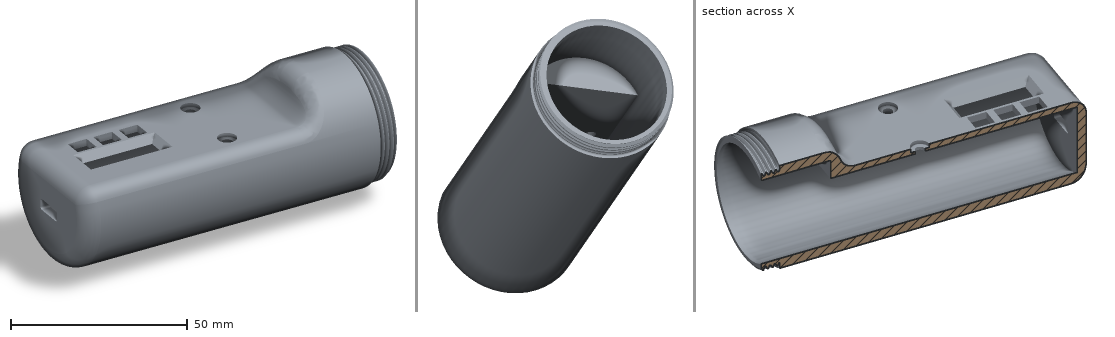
import cadquery as cq
import math

TOTAL_LENGTH = 103.0
BODY_DIAMETER = 41.6
BODY_RADIUS = BODY_DIAMETER / 2
BORE_DIAMETER = 35.6
WALL = (BODY_DIAMETER - BORE_DIAMETER) / 2
EDGE_ROUND = 5.0
SELECTION_MARGIN = 1.0

PANEL_Z = 10.5
PANEL_THICKNESS = 2.3
STEP_Y = 78.0

NECK_LENGTH = 6.0
NECK_START_Y = TOTAL_LENGTH - NECK_LENGTH
THREAD_ROOT_DIAMETER = 38.1
THREAD_CREST_DIAMETER = 39.9
THREAD_PITCH = 1.5
THREAD_CREST_WIDTH = 0.26
THREAD_FLANK_ANGLE = 30.0
THREAD_OVERLAP = 0.1
THREAD_LAST_CREST_Y = 101.8
THREAD_TURNS_BELOW = 4
THREAD_TURNS_ABOVE = 2

SCREW_DIAMETER = 3.0
SCREW_HEAD_DIAMETER = 5.8
SCREW_HEAD_DEPTH = 1.2
SCREW_SPACING = 20.6
SCREW_Y = 52.6

DISPLAY_X = 2.1
DISPLAY_Y = 23.2
DISPLAY_WIDTH = 10.0
DISPLAY_LENGTH = 26.8
DISPLAY_BEVEL = 2.1
BUTTON_X = -6.5
BUTTON_WIDTH = 5.6
BUTTON_LENGTH = 6.2
BUTTON_PITCH = 8.3
BUTTON_COUNT = 3

SLOT_WIDTH = 9.2
SLOT_HEIGHT = 3.5
SLOT_Z = -3.2
SLOT_CORNER_RADIUS = 0.7


def rod(diameter, start_y, end_y):
    """Solid cylinder along Y between two positions."""
    length = end_y - start_y
    return cq.Workplane("XZ", origin=(0, start_y, 0)).circle(diameter / 2).extrude(-length)


def outer_body():
    """Round grip with the panel cut away and every edge rounded except at the neck."""
    body = rod(BODY_DIAMETER, 0, NECK_START_Y)
    removed_profile = (
        cq.Workplane("YZ")
        .moveTo(0, PANEL_Z)
        .lineTo(STEP_Y - EDGE_ROUND, PANEL_Z)
        .radiusArc((STEP_Y, PANEL_Z + EDGE_ROUND), -EDGE_ROUND)
        .lineTo(STEP_Y, BODY_RADIUS)
        .lineTo(0, BODY_RADIUS)
        .close()
    )
    body = body.cut(removed_profile.extrude(BODY_RADIUS, both=True))

    end_edges = body.faces("<Y").edges()
    step_edges = body.faces(cq.selectors.BoxSelector(
        (-BODY_RADIUS, 0, PANEL_Z - SELECTION_MARGIN),
        (BODY_RADIUS, STEP_Y + SELECTION_MARGIN, BODY_RADIUS + SELECTION_MARGIN),
        boundingbox=True,
    )).edges("not |X")
    return body.newObject(end_edges.vals() + step_edges.vals()).fillet(EDGE_ROUND)


def cavity():
    """Bore from the closed end's wall to the open end, flattened under the panel."""
    bore = rod(BORE_DIAMETER, WALL, TOTAL_LENGTH)
    panel_backing = cq.Workplane("XY", origin=(0, 0, PANEL_Z - PANEL_THICKNESS)).box(
        BODY_DIAMETER, STEP_Y + WALL, BODY_RADIUS, centered=(True, False, False)
    )
    return bore.cut(panel_backing)


def thread_ridge():
    """Right-handed helical ridge, trimmed flush with the open end."""
    root_radius = THREAD_ROOT_DIAMETER / 2
    crest_radius = THREAD_CREST_DIAMETER / 2
    inner_radius = root_radius - THREAD_OVERLAP
    half_crest = THREAD_CREST_WIDTH / 2
    half_root = half_crest + (crest_radius - inner_radius) * math.tan(math.radians(THREAD_FLANK_ANGLE))
    start_y = THREAD_LAST_CREST_Y - THREAD_TURNS_BELOW * THREAD_PITCH
    helix_height = (THREAD_TURNS_BELOW + THREAD_TURNS_ABOVE) * THREAD_PITCH

    path = cq.Workplane(cq.Wire.makeHelix(THREAD_PITCH, helix_height, root_radius))
    ridge = (
        cq.Workplane("XZ")
        .polyline([
            (inner_radius, -half_root),
            (crest_radius, -half_crest),
            (crest_radius, half_crest),
            (inner_radius, half_root),
        ])
        .close()
        .sweep(path, isFrenet=True)
        .rotate((0, 0, 0), (1, 0, 0), -90)
        .translate((0, start_y, 0))
    )
    return ridge.intersect(rod(BODY_DIAMETER, NECK_START_Y - THREAD_OVERLAP, TOTAL_LENGTH))


def panel_plane():
    """Workplane on the panel's outer face."""
    return cq.Workplane("XY", origin=(0, 0, PANEL_Z))


def screw_holes():
    """Counterbored holes through the panel."""
    centres = [(-SCREW_SPACING / 2, SCREW_Y), (SCREW_SPACING / 2, SCREW_Y)]
    shanks = panel_plane().pushPoints(centres).circle(SCREW_DIAMETER / 2).extrude(-PANEL_THICKNESS)
    heads = panel_plane().pushPoints(centres).circle(SCREW_HEAD_DIAMETER / 2).extrude(-SCREW_HEAD_DEPTH)
    return shanks.union(heads)


def display_window():
    """Opening that narrows evenly on all four sides through the panel."""
    return (
        panel_plane()
        .center(DISPLAY_X, DISPLAY_Y)
        .rect(DISPLAY_WIDTH, DISPLAY_LENGTH)
        .workplane(offset=-PANEL_THICKNESS)
        .rect(DISPLAY_WIDTH - 2 * DISPLAY_BEVEL, DISPLAY_LENGTH - 2 * DISPLAY_BEVEL)
        .loft(ruled=True)
    )


def button_openings():
    """Row of rectangular openings centred lengthwise on the display."""
    return (
        panel_plane()
        .center(BUTTON_X, DISPLAY_Y)
        .rarray(1, BUTTON_PITCH, 1, BUTTON_COUNT)
        .rect(BUTTON_WIDTH, BUTTON_LENGTH)
        .extrude(-PANEL_THICKNESS)
    )


def connector_slot():
    """Round-cornered slot through the wall of the closed end."""
    return (
        cq.Workplane("XZ", origin=(0, 0, SLOT_Z))
        .rect(SLOT_WIDTH, SLOT_HEIGHT)
        .extrude(-WALL)
        .edges("|Y")
        .fillet(SLOT_CORNER_RADIUS)
    )


result = outer_body()
result = result.union(rod(THREAD_ROOT_DIAMETER, NECK_START_Y, TOTAL_LENGTH))
result = result.union(thread_ridge())
result = result.cut(cavity())
for opening in (screw_holes(), display_window(), button_openings(), connector_slot()):
    result = result.cut(opening)